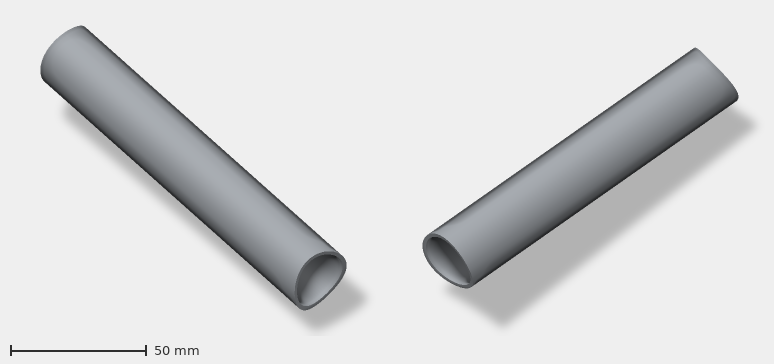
import cadquery as cq
import math

TUBE_RADIUS = 12.5
WALL = 1.5
RUN = 139.1
DROP = 7.4
OVERRUN = 13.9

LEFT_MEMBER_RADIUS = 58.7
LEFT_MEMBER_X = -57.0
LEFT_OFFSET = -0.8
LEFT_HEADING = 55.2
LEFT_LEAN = -2.1

RIGHT_MEMBER_RADIUS = 37.0
RIGHT_MEMBER_X = RUN + 34.1
RIGHT_OFFSET = 2.2
RIGHT_HEADING = 101.5
RIGHT_LEAN = -9.1

MEMBER_LENGTH = 167.0


def tube_axis_point(x):
    """Point on the tube axis at x; the axis passes through Y = Z = 0 at x = 0."""
    fall = -DROP * x / RUN
    return cq.Vector(x, fall, fall)


def tube_blank():
    """Tube extended past both ends, ready for the saddle cuts."""
    start = tube_axis_point(-OVERRUN)
    span = tube_axis_point(RUN + OVERRUN) - start
    section = cq.Workplane(cq.Plane(origin=start, normal=span))
    return section.circle(TUBE_RADIUS).circle(TUBE_RADIUS - WALL).extrude(span.Length)


def round_member(radius, member_x, offset, heading, lean, end_x):
    """Solid cylinder that the tube end at end_x seats against."""
    heading = math.radians(heading)
    lean = math.radians(lean)
    direction = cq.Vector(
        math.sin(lean),
        math.cos(lean) * math.cos(heading),
        math.cos(lean) * math.sin(heading),
    )
    sideways = cq.Vector(0, -math.sin(heading), math.cos(heading)) * offset
    tube_end = tube_axis_point(end_x)
    center = cq.Vector(member_x, tube_end.y, tube_end.z) + sideways
    base = center - direction * (MEMBER_LENGTH / 2)
    return cq.Solid.makeCylinder(radius, MEMBER_LENGTH, base, direction)


left_member = round_member(
    LEFT_MEMBER_RADIUS, LEFT_MEMBER_X, LEFT_OFFSET, LEFT_HEADING, LEFT_LEAN, 0
)
right_member = round_member(
    RIGHT_MEMBER_RADIUS, RIGHT_MEMBER_X, RIGHT_OFFSET, RIGHT_HEADING, RIGHT_LEAN, RUN
)

result = tube_blank().cut(left_member).cut(right_member)